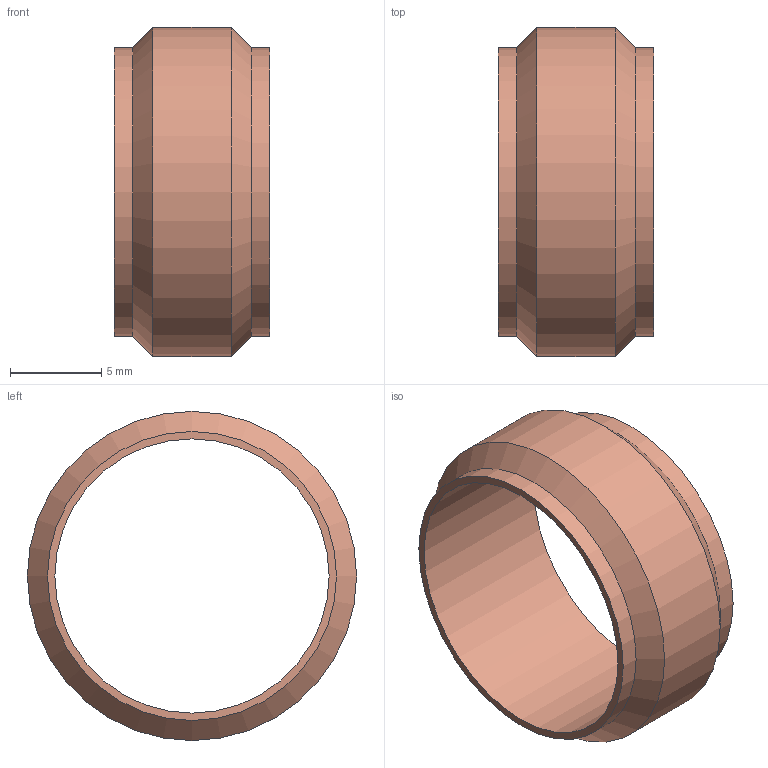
import cadquery as cq

ring_length = 8.5
band_diameter = 18.0
collar_diameter = 15.8
bore_diameter = 15.0
collar_length = 1.0

band_radius = band_diameter / 2
collar_radius = collar_diameter / 2
bore_radius = bore_diameter / 2

cone_length = band_radius - collar_radius

half_length = ring_length / 2
collar_inner_x = half_length - collar_length
band_half_width = collar_inner_x - cone_length


def make_ring():
    """Revolve the wall section, symmetric about X = 0, around the X axis."""
    section = (
        cq.Workplane("XY")
        .moveTo(-half_length, bore_radius)
        .lineTo(-half_length, collar_radius)
        .lineTo(-collar_inner_x, collar_radius)
        .lineTo(-band_half_width, band_radius)
        .lineTo(band_half_width, band_radius)
        .lineTo(collar_inner_x, collar_radius)
        .lineTo(half_length, collar_radius)
        .lineTo(half_length, bore_radius)
        .close()
    )
    return section.revolve(360, (0, 0, 0), (1, 0, 0))


result = make_ring()